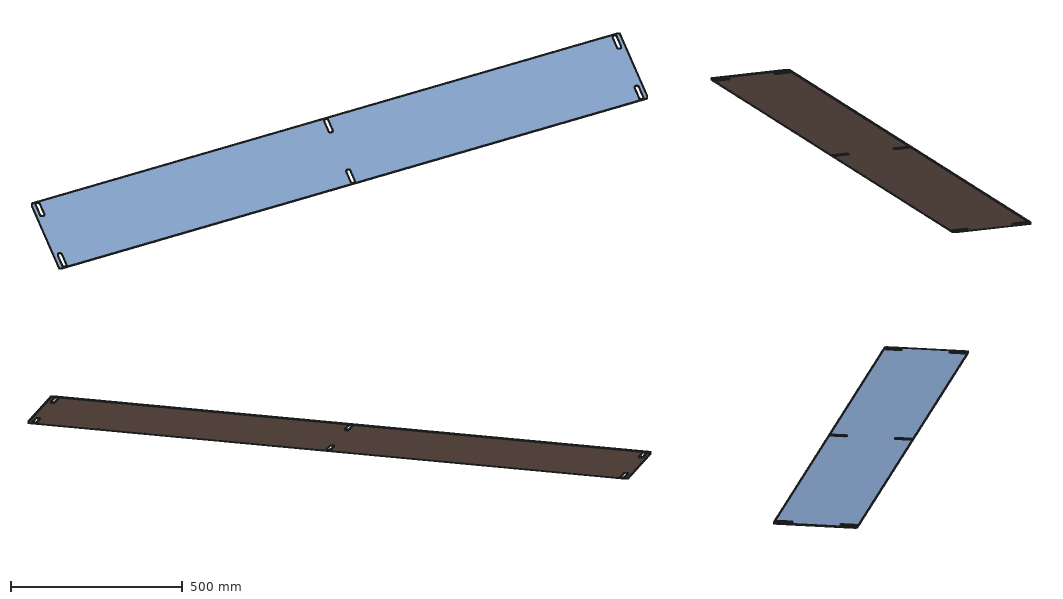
import cadquery as cq

plate_width = 247.65
plate_length = 1820.86
plate_thickness = 3.17
corner_radius = 6.35

slot_length = 50.8
slot_width = 12.7
slot_edge_gap = 2.5
end_row_inset = 18.2

slot_center_x = plate_width / 2 - slot_edge_gap - slot_length / 2
end_row_y = plate_length / 2 - end_row_inset


def make_plate():
    """Flat plate with rounded corners, resting on Z = 0."""
    plate = cq.Workplane("XY").rect(plate_width, plate_length).extrude(plate_thickness)
    return plate.edges("|Z").fillet(corner_radius)


def make_slots():
    """Round-ended slot bodies, long across the plate's width and as tall as the plate."""
    row_positions = (-end_row_y, 0, end_row_y)
    column_positions = (-slot_center_x, slot_center_x)
    centers = [(x, y) for y in row_positions for x in column_positions]
    sketch = cq.Workplane("XY").pushPoints(centers).slot2D(slot_length, slot_width)
    return sketch.extrude(plate_thickness)


result = make_plate().cut(make_slots())